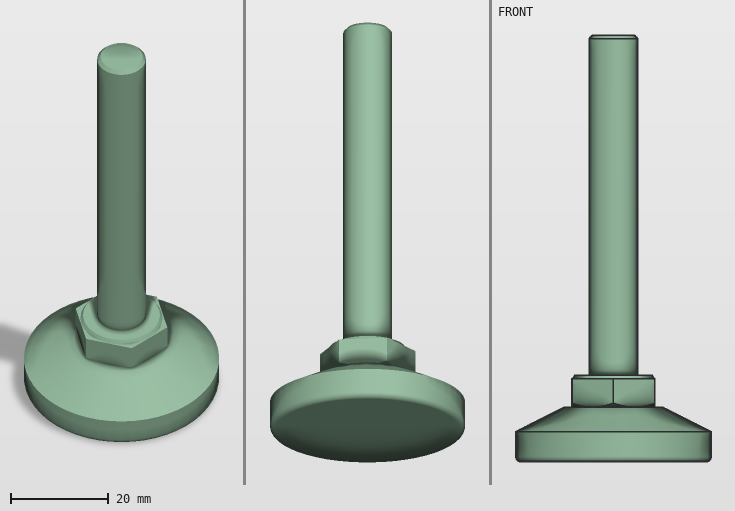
import cadquery as cq
import math

total_height = 87.4

foot_radius = 20.0
foot_top_radius = 10.0
foot_rim_height = 6.1
foot_height = 11.2
foot_edge_radius = 1.05

hex_across_flats = 17.0
hex_top = 16.95
hex_chamfer_angle = 30.0

collar_base_radius = 8.4
collar_top_radius = 7.9
collar_top = 17.7

stud_radius = 5.0
stud_chamfer = 0.7


def make_foot():
    profile = (
        cq.Workplane("XZ")
        .lineTo(foot_radius, 0)
        .lineTo(foot_radius, foot_rim_height)
        .lineTo(foot_top_radius, foot_height)
        .lineTo(0, foot_height)
        .close()
    )
    foot = profile.revolve(360, (0, 0), (0, 1))
    return foot.faces("<Z").edges().fillet(foot_edge_radius)


def make_hexagon():
    flat_radius = hex_across_flats / 2
    corner_radius = flat_radius / math.cos(math.radians(30))
    chamfer_slope = math.tan(math.radians(hex_chamfer_angle))
    corner_rise = (corner_radius - flat_radius) * chamfer_slope
    prism = (
        cq.Workplane("XY", origin=(0, 0, foot_height))
        .transformed(rotate=(0, 0, 90))
        .polygon(6, 2 * corner_radius)
        .extrude(hex_top - foot_height)
    )
    envelope = (
        cq.Workplane("XZ")
        .moveTo(0, foot_height)
        .lineTo(flat_radius, foot_height)
        .lineTo(corner_radius, foot_height + corner_rise)
        .lineTo(corner_radius, hex_top)
        .lineTo(0, hex_top)
        .close()
        .revolve(360, (0, 0), (0, 1))
    )
    return prism.intersect(envelope)


def make_collar():
    return (
        cq.Workplane("XZ")
        .moveTo(0, hex_top)
        .lineTo(collar_base_radius, hex_top)
        .lineTo(collar_top_radius, collar_top)
        .lineTo(0, collar_top)
        .close()
        .revolve(360, (0, 0), (0, 1))
    )


def make_stud():
    stud = (
        cq.Workplane("XY", origin=(0, 0, collar_top))
        .circle(stud_radius)
        .extrude(total_height - collar_top)
    )
    return stud.faces(">Z").edges().chamfer(stud_chamfer)


result = make_foot().union(make_hexagon()).union(make_collar()).union(make_stud())